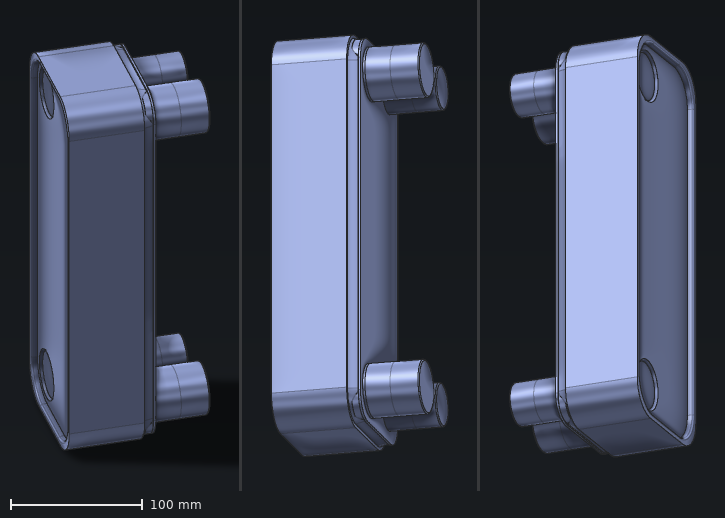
import cadquery as cq


HEIGHT = 310.0
WIDTH = 111.0
CORNER_RADIUS = 25.0
BLOCK_DEPTH = 59.5

NECK_LENGTH = 8.0
NECK_BASE_INSET = 2.8
NECK_END_INSET = 5.0
NECK_END_Y = BLOCK_DEPTH + NECK_LENGTH

NECK_CORNER_RADIUS = 15.5
NECK_CORNER_LENGTH = 5.5

RECESS_INSET = 4.3
RECESS_WALL_RUN = 0.5
RECESS_DEPTH = 5.0
RECESS_CORNER_RADIUS = 26.7
RECESS_LIP_FILLET = 1.5
FLOOR_INSET = RECESS_INSET + RECESS_WALL_RUN
FLOOR_CORNER_RADIUS = RECESS_CORNER_RADIUS - RECESS_WALL_RUN

FRONT_PLATE_THICKNESS = 3.7
BACK_PLATE_THICKNESS = 2.0
BACK_PLATE_OVERHANG = 1.2
BACK_PLATE_INSET = NECK_END_INSET - BACK_PLATE_OVERHANG
BACK_PLATE_CORNER_RADIUS = 19.8
BACK_PLATE_END_Y = NECK_END_Y + BACK_PLATE_THICKNESS

PORT_X = 25.0
PORT_Z = 125.2
PORT_LEVELS = (-PORT_Z, PORT_Z)
DIMPLE_RADIUS = 20.0
DIMPLE_FLOOR_RADIUS = 18.5
DIMPLE_DEPTH = 2.2
BOSS_HEIGHT = 2.0
BOSS_END_Y = BACK_PLATE_END_Y + BOSS_HEIGHT

SMALL_PIPE_RADIUS = 34.0 / 2
SMALL_PIPE_END_Y = 112.2
SMALL_PIPE_SLEEVE = 20.5
LARGE_PIPE_RADIUS = 42.0 / 2
LARGE_PIPE_END_Y = 114.0
LARGE_PIPE_SLEEVE = 23.0
PIPE_CHAMFER = 1.0


def plane_at(y, x=0, z=0):
    """Work plane at depth y whose normal points along +Y and whose local Y is the part's Z."""
    return cq.Plane(origin=(x, y, z), xDir=(-1, 0, 0), normal=(0, 1, 0))


def rounded_outline(inset, radius):
    """Pack outline moved inwards by the inset, with rounded corners."""
    return cq.Sketch().rect(WIDTH - 2 * inset, HEIGHT - 2 * inset).vertices().fillet(radius)


def rounded_slab(y, thickness, inset, radius):
    """Straight slab of the rounded outline, starting at depth y."""
    return cq.Workplane(plane_at(y)).placeSketch(rounded_outline(inset, radius)).extrude(thickness)


def tapered_slab(y, length, start_inset, start_radius, end_inset, end_radius):
    """Slab whose rounded outline changes evenly from start to end along +Y."""
    start = rounded_outline(start_inset, start_radius)
    end = rounded_outline(end_inset, end_radius).moved(cq.Location(cq.Vector(0, 0, length)))
    return cq.Workplane(plane_at(y)).placeSketch(start, end).loft()


def make_plate_pack():
    """Block with a tapered neck behind it, a dished front and a seat for the front plate."""
    block = rounded_slab(0, BLOCK_DEPTH, 0, CORNER_RADIUS)
    neck = tapered_slab(
        BLOCK_DEPTH, NECK_LENGTH,
        NECK_BASE_INSET, CORNER_RADIUS - NECK_BASE_INSET,
        NECK_END_INSET, CORNER_RADIUS - NECK_END_INSET,
    )
    neck_corners = rounded_slab(
        NECK_END_Y - NECK_CORNER_LENGTH, NECK_CORNER_LENGTH, NECK_END_INSET, NECK_CORNER_RADIUS
    )
    recess = tapered_slab(
        0, RECESS_DEPTH,
        RECESS_INSET, RECESS_CORNER_RADIUS,
        FLOOR_INSET, FLOOR_CORNER_RADIUS,
    )
    front_plate_seat = rounded_slab(RECESS_DEPTH, FRONT_PLATE_THICKNESS, FLOOR_INSET, FLOOR_CORNER_RADIUS)
    dished_block = block.cut(recess)
    recess_mouth = dished_block.faces("<Y").val().innerWires()[0].Edges()
    dished_block = dished_block.newObject(recess_mouth).fillet(RECESS_LIP_FILLET)
    return dished_block.cut(front_plate_seat).union(neck).union(neck_corners)


def make_front_plate():
    """Flat plate on the recess floor, with a tapered round dimple in front of each small pipe."""
    plate = rounded_slab(RECESS_DEPTH, FRONT_PLATE_THICKNESS, FLOOR_INSET, FLOOR_CORNER_RADIUS)
    for z in PORT_LEVELS:
        dimple = cq.Solid.makeCone(
            DIMPLE_RADIUS, DIMPLE_FLOOR_RADIUS, DIMPLE_DEPTH,
            pnt=cq.Vector(-PORT_X, RECESS_DEPTH, z), dir=cq.Vector(0, 1, 0),
        )
        plate = plate.cut(cq.Workplane(dimple))
    return plate


def make_back_plate():
    """Thin plate on the end of the neck, with a low round boss under each large pipe."""
    plate = rounded_slab(NECK_END_Y, BACK_PLATE_THICKNESS, BACK_PLATE_INSET, BACK_PLATE_CORNER_RADIUS)
    for z in PORT_LEVELS:
        boss_plane = plane_at(BACK_PLATE_END_Y, PORT_X, z)
        boss = cq.Workplane(boss_plane).circle(LARGE_PIPE_RADIUS).extrude(BOSS_HEIGHT)
        plate = plate.union(boss)
    return plate


def make_pipe(x, z, start_y, end_y, radius, sleeve_length):
    """Pipe stub with a chamfered end; its outer face is split where the end sleeve begins."""
    sleeve_y = end_y - sleeve_length
    profile = (
        cq.Workplane("XY")
        .moveTo(0, start_y)
        .lineTo(-radius, start_y)
        .lineTo(-radius, sleeve_y)
        .lineTo(-radius, end_y - PIPE_CHAMFER)
        .lineTo(PIPE_CHAMFER - radius, end_y)
        .lineTo(0, end_y)
        .close()
    )
    return profile.revolve(360, (0, 0, 0), (0, 1, 0), clean=False).translate((x, 0, z))


plate_pack = make_plate_pack()
front_plate = make_front_plate()
back_plate = make_back_plate()

pipes = []
for level in PORT_LEVELS:
    small_pipe = make_pipe(
        -PORT_X, level, BACK_PLATE_END_Y, SMALL_PIPE_END_Y, SMALL_PIPE_RADIUS, SMALL_PIPE_SLEEVE
    )
    large_pipe = make_pipe(
        PORT_X, level, BOSS_END_Y, LARGE_PIPE_END_Y, LARGE_PIPE_RADIUS, LARGE_PIPE_SLEEVE
    )
    pipes += [small_pipe.val(), large_pipe.val()]

result = cq.Compound.makeCompound([plate_pack.val(), front_plate.val(), back_plate.val(), *pipes])